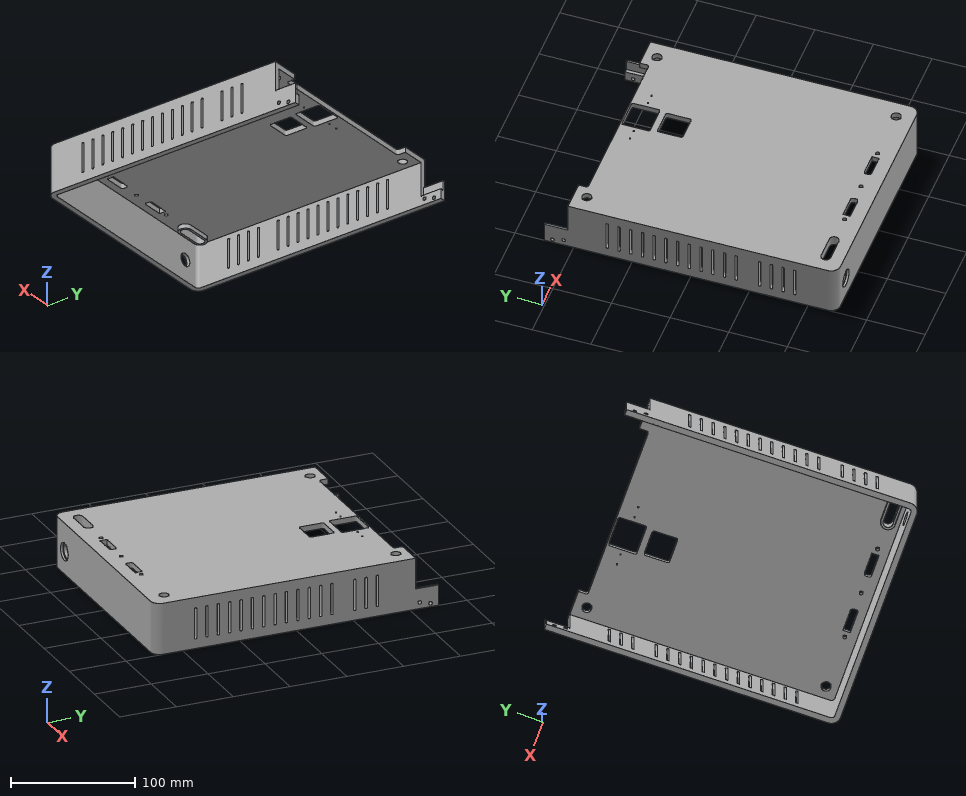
import cadquery as cq


width = 200.0
length = 250.0
height = 45.0
body_length = 230.0
corner_radius = 8.0
top_thickness = 5.0
wall_thickness = 5.0

arm_height = 18.0
arm_thickness = 2.0
ledge_height = arm_height / 2
arm_hole_diameter = 3.0
arm_hole_positions = [(243.0, 3.0), (233.5, 5.5)]

rear_tab_width = 26.0
notch_depth = 8.0
notch_radius = 2.0

screw_diameter = 8.0
screw_inset = 15.0
rear_screw_y = 219.0
screw_slot_length = 27.5
slot_collar_wall = 2.0
slot_collar_depth = 4.0

opening_length = 20.0
opening_width = 6.0
opening_gap = 30.0
opening_radius = 2.0
pin_diameter = 3.0
pin_spacing = 40.0

window_x = 16.0
window_radius = 1.5
rear_window_size = (25.5, 24.0)
rear_window_y = 208.5
front_window_size = (22.0, 21.5)
front_window_y = 180.0
pilot_diameter = 1.0
pilot_offsets = (17.0, 26.0)

vent_width = 2.0
vent_bottom = 8.5
vent_top = 36.0
vent_pitch = 10.0
first_vent_y = 36.2
vent_positions = 17
left_skipped_vent = 4
right_skipped_vent = 13

cable_x = -79.0
cable_z = 19.8
cable_diameter = 11.5
cable_recess_diameter = 15.0
cable_recess_depth = 2.0


def block(x_range, y_range, z_range):
    """Axis-aligned box between the given limits."""
    (x0, x1), (y0, y1), (z0, z1) = x_range, y_range, z_range
    return cq.Workplane("XY").box(x1 - x0, y1 - y0, z1 - z0, centered=False).translate((x0, y0, z0))


def top_cutter(x, y):
    """Sketch plane on Z = 0, centred below a feature of the top."""
    return cq.Workplane("XY").center(x, y)


def make_shell():
    half = width / 2
    inner_half = half - wall_thickness
    body = block((-half, half), (0, length), (0, height))
    body = body.edges("|Z and <Y").fillet(corner_radius)
    cavity = block((-inner_half, inner_half), (wall_thickness, length), (0, height - top_thickness))
    cavity = cavity.edges("|Z and <Y").fillet(corner_radius - wall_thickness)
    above_arms = block((-half, half), (body_length, length), (arm_height, height))
    return body.cut(cavity).cut(above_arms)


def cut_arm_steps(part):
    half = width / 2
    x_range = (half - wall_thickness, half - arm_thickness)
    step = block(x_range, (body_length, length), (ledge_height, arm_height))
    return part.cut(step).cut(step.mirror("YZ"))


def cut_rear_notch(part):
    half = width / 2 - rear_tab_width
    notch = block((-half, half), (body_length - notch_depth, length), (height - top_thickness, height))
    return part.cut(notch.edges("|Z and <Y").fillet(notch_radius))


def cut_screw_holes(part):
    screw_x = width / 2 - screw_inset
    for x, y in [(-screw_x, rear_screw_y), (screw_x, rear_screw_y), (screw_x, screw_inset)]:
        part = part.cut(top_cutter(x, y).circle(screw_diameter / 2).extrude(height))
    slot_x = -screw_x + (screw_slot_length - screw_diameter) / 2
    slot = top_cutter(slot_x, screw_inset).slot2D(screw_slot_length, screw_diameter).extrude(height)
    collar_growth = 2 * slot_collar_wall
    collar = top_cutter(slot_x, screw_inset).slot2D(
        screw_slot_length + collar_growth, screw_diameter + collar_growth
    )
    collar = collar.extrude(slot_collar_depth)
    collar = collar.translate((0, 0, height - top_thickness - slot_collar_depth))
    return part.union(collar).cut(slot)


def cut_connector_openings(part):
    x = (opening_gap + opening_length) / 2
    opening = top_cutter(x, screw_inset).rect(opening_length, opening_width).extrude(height)
    opening = opening.edges("|Z and <X").fillet(opening_radius)
    part = part.cut(opening).cut(opening.mirror("YZ"))
    for pin_x in (-pin_spacing, 0, pin_spacing):
        part = part.cut(top_cutter(pin_x, screw_inset).circle(pin_diameter / 2).extrude(height))
    return part


def cut_windows(part):
    for size, y in [(rear_window_size, rear_window_y), (front_window_size, front_window_y)]:
        window = top_cutter(window_x, y).rect(*size).extrude(height)
        part = part.cut(window.edges("|Z").fillet(window_radius))
    for offset in pilot_offsets:
        for x in (window_x - offset, window_x + offset):
            part = part.cut(top_cutter(x, rear_window_y).circle(pilot_diameter / 2).extrude(height))
    return part


def cut_side_vents(part):
    middle_z = (vent_bottom + vent_top) / 2
    left_wall_x = -width / 2
    right_wall_x = width / 2 - wall_thickness
    for wall_x, skipped in [(left_wall_x, left_skipped_vent), (right_wall_x, right_skipped_vent)]:
        centers = [
            (first_vent_y + i * vent_pitch, middle_z)
            for i in range(vent_positions)
            if i != skipped
        ]
        plane = cq.Workplane("YZ").workplane(offset=wall_x)
        vents = plane.pushPoints(centers).slot2D(vent_top - vent_bottom, vent_width, 90)
        part = part.cut(vents.extrude(wall_thickness))
    return part


def cut_arm_holes(part):
    holes = cq.Workplane("YZ").pushPoints(arm_hole_positions).circle(arm_hole_diameter / 2)
    return part.cut(holes.extrude(width / 2, both=True))


def cut_cable_hole(part):
    plane = cq.Workplane("XZ").center(cable_x, cable_z)
    hole = plane.circle(cable_diameter / 2).extrude(-wall_thickness)
    recess = plane.circle(cable_recess_diameter / 2).extrude(-cable_recess_depth)
    return part.cut(hole).cut(recess)


result = make_shell()
result = cut_arm_steps(result)
result = cut_rear_notch(result)
result = cut_screw_holes(result)
result = cut_connector_openings(result)
result = cut_windows(result)
result = cut_side_vents(result)
result = cut_arm_holes(result)
result = cut_cable_hole(result)